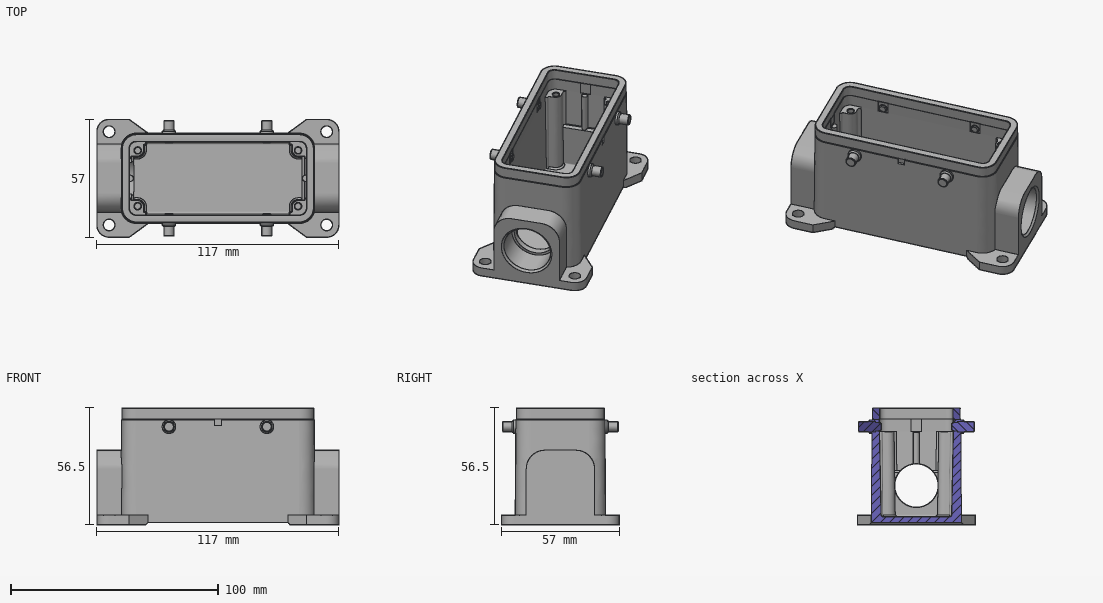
import cadquery as cq
import math

length = 117.0
width = 57.0
base_thickness = 4.7
base_corner_radius = 6.0
base_hole_diameter = 5.5
foot_inner_x = 33.8
foot_slant_x = 42.8
underside_relief = 1.0

overall_height = 56.5
body_top_z = 51.0
body_half_x = 46.9
body_half_y = 21.9
body_corner_radius = 7.7
body_draft = 0.4
body_rim_chamfer = 0.29
notch_width = 3.3
notch_height = 3.0
notch_depth = 1.0

entry_half_width = 16.5
entry_top_z = 36.0
entry_corner_radius = 9.0
bore_z = 19.0
bore_diameter = 23.4
bore_mouth_diameter = 25.4
bore_mouth_depth = 1.0
bore_end_x = 44.0
opening_diameter = 21.0

floor_z = 4.0
cavity_corner_radius = 3.9
mouth_half_x = 43.0
mouth_half_y = 17.8
step_z = 45.0
ledge_top_z = 26.2
ledge_wall_x = 42.6
ledge_edge_x = 41.8
ledge_chamfer = 1.0
floor_half_x = 40.6
floor_half_y = 17.0
floor_fillet = 0.8

post_x = 38.7
post_y = 13.5
post_inner_x = 35.9
post_inner_y = 10.8
post_root_radius = 3.5
post_foot_flare = 0.8
post_web_radius = 1.0
post_embed = 1.2
post_draft = 0.6
post_hole_diameter = 3.0
post_hole_depth = 14.0
post_hole_chamfer = 0.29
rib_diameter = 3.0
rib_x = 42.4
rib_top_z = 44.6

pin_x = 23.6
pin_z = 47.4
pin_tip_y = 28.0
pin_inner_y = 17.0
pin_diameter = 5.0
pin_shank_diameter = 4.0
pin_tip_chamfer = 0.4
shank_chamfer = 0.5
boss_diameter = 6.5
boss_top_y = 23.3
boss_chamfer = 0.7
pad_width = 5.0
pad_depth = 0.2
pin_seat_y = 19.9

seal_half_x = 46.3
seal_half_y = 21.3
seal_width = 3.6
seal_corner_radius = 6.9
seal_edge_chamfer = 0.2
seal_crown_radius = 13.2

SIDES = (-1, 1)
CORNERS = [(sx, sy) for sx in SIDES for sy in SIDES]


def rounded_block(half_x, half_y, bottom, top, radius, lean=0.0):
    """Rounded rectangle extruded upward; its walls lean inward by `lean` in total."""
    height = top - bottom
    outline = cq.Sketch().rect(2 * half_x, 2 * half_y).vertices().fillet(radius)
    angle = math.degrees(math.atan2(lean, height))
    return cq.Workplane("XY").workplane(offset=bottom).placeSketch(outline).extrude(height, taper=angle)


def base_foot(side):
    """Flat foot under one end, with two screw ears and a sloped inner lower edge."""
    foot = (
        cq.Workplane("XY")
        .moveTo(foot_inner_x, -body_half_y)
        .lineTo(foot_slant_x, -width / 2)
        .lineTo(length / 2, -width / 2)
        .lineTo(length / 2, width / 2)
        .lineTo(foot_slant_x, width / 2)
        .lineTo(foot_inner_x, body_half_y)
        .close()
        .extrude(base_thickness)
        .edges("|Z and >X")
        .fillet(base_corner_radius)
    )
    lower_edge = (
        cq.Workplane("XZ")
        .moveTo(foot_inner_x, 0)
        .lineTo(foot_inner_x + underside_relief, 0)
        .lineTo(foot_inner_x, underside_relief)
        .close()
        .extrude(width / 2, both=True)
    )
    hole_x = length / 2 - base_corner_radius
    hole_y = width / 2 - base_corner_radius
    holes = (
        cq.Workplane("XY")
        .pushPoints([(hole_x, -hole_y), (hole_x, hole_y)])
        .circle(base_hole_diameter / 2)
        .extrude(base_thickness)
    )
    foot = foot.cut(lower_edge).cut(holes)
    return foot if side > 0 else foot.mirror("YZ")


def cable_entry(side):
    """Solid block with a rounded top that joins one end wall."""
    inner_x = (body_half_x + mouth_half_x) / 2
    return (
        cq.Workplane("YZ")
        .workplane(offset=inner_x)
        .moveTo(0, entry_top_z / 2)
        .rect(2 * entry_half_width, entry_top_z)
        .extrude(length / 2 - inner_x)
        .edges("|X and >Z")
        .fillet(entry_corner_radius)
        .rotate((0, 0, 0), (0, 0, 1), 0 if side > 0 else 180)
    )


def cavity():
    """Open interior: leaning long walls, and end walls that thicken below a sloped ledge."""
    end_profile = [
        (mouth_half_x, body_top_z),
        (mouth_half_x, step_z),
        (ledge_wall_x, ledge_top_z),
        (ledge_edge_x, ledge_top_z),
        (ledge_edge_x - ledge_chamfer, ledge_top_z - ledge_chamfer),
        (floor_half_x, floor_z),
    ]
    side_profile = [
        (mouth_half_y, body_top_z),
        (mouth_half_y, step_z),
        (floor_half_y, floor_z),
    ]

    def mirrored_prism(plane, profile, half_depth):
        mirrored = [(-u, z) for u, z in reversed(profile)]
        return cq.Workplane(plane).polyline(profile + mirrored).close().extrude(half_depth, both=True)

    lengthwise = mirrored_prism("XZ", end_profile, body_half_y)
    crosswise = mirrored_prism("YZ", side_profile, body_half_x)
    envelope = rounded_block(mouth_half_x, mouth_half_y, floor_z, body_top_z, cavity_corner_radius)
    return lengthwise.intersect(crosswise).intersect(envelope).faces("<Z").edges().fillet(floor_fillet)


def post_prism(growth, height, lean):
    """Corner post at +X +Y on the floor, `growth` wider than its root and narrowing upward by `lean`."""
    inner_x = post_inner_x - post_draft - growth
    inner_y = post_inner_y - post_draft - growth
    outer_x = mouth_half_x + post_embed
    outer_y = mouth_half_y + post_embed
    corner = post_root_radius + growth
    web = post_web_radius - growth
    return (
        cq.Workplane("XY")
        .workplane(offset=floor_z)
        .moveTo(inner_x - web, outer_y)
        .lineTo(outer_x, outer_y)
        .lineTo(outer_x, inner_y - web)
        .lineTo(ledge_wall_x, inner_y - web)
        .radiusArc((ledge_wall_x - web, inner_y), web)
        .lineTo(inner_x + corner, inner_y)
        .radiusArc((inner_x, inner_y + corner), corner)
        .lineTo(inner_x, floor_half_y - web)
        .radiusArc((inner_x - web, floor_half_y), web)
        .close()
        .extrude(height, taper=math.degrees(math.atan2(lean, height)))
    )


def screw_post(sx, sy):
    """Leaning post with a flared foot, blended into both walls, with a blind screw hole in its top."""
    shaft = post_prism(0, step_z - floor_z, post_draft)
    foot = post_prism(post_foot_flare, post_foot_flare, post_foot_flare)
    hole = (
        cq.Workplane("XY")
        .workplane(offset=step_z - post_hole_depth)
        .moveTo(post_x, post_y)
        .circle(post_hole_diameter / 2)
        .extrude(post_hole_depth)
    )
    countersink = (
        cq.Workplane("XY")
        .workplane(offset=step_z)
        .moveTo(post_x, post_y)
        .circle(post_hole_diameter / 2 + post_hole_chamfer)
        .extrude(-post_hole_chamfer, taper=45)
    )
    post = shaft.union(foot).cut(hole).cut(countersink)
    if sx < 0:
        post = post.mirror("YZ")
    if sy < 0:
        post = post.mirror("XZ")
    return post


def guide_rib(side):
    """Upright half-round rib on the middle of one end wall, above the ledge."""
    bottom = ledge_top_z - ledge_chamfer
    return (
        cq.Workplane("XY")
        .workplane(offset=bottom)
        .moveTo(side * rib_x, 0)
        .circle(rib_diameter / 2)
        .extrude(rib_top_z - bottom)
    )


def cable_bore():
    """Bore through the -X entry: wide mouth, main bore, narrower opening into the cavity."""
    profile = [
        (0, -length / 2),
        (bore_mouth_diameter / 2, -length / 2),
        (bore_diameter / 2, -length / 2 + bore_mouth_depth),
        (bore_diameter / 2, -bore_end_x),
        (opening_diameter / 2, -bore_end_x),
        (opening_diameter / 2, -floor_half_x),
        (0, -floor_half_x),
    ]
    points = [(x, bore_z + radius) for radius, x in profile]
    return (
        cq.Workplane("XZ")
        .polyline(points)
        .close()
        .revolve(360, (0, bore_z, 0), (1, bore_z, 0))
    )


def wall_pads():
    """Shallow flat recesses in the upper inner walls, at each pin and on both ends."""
    height = body_top_z - step_z
    middle_z = (body_top_z + step_z) / 2
    end_pads = cq.Workplane("XY").box(2 * (mouth_half_x + pad_depth), pad_width, height)
    pads = end_pads.translate((0, 0, middle_z))
    for side in SIDES:
        pad = cq.Workplane("XY").box(pad_width, 2 * (mouth_half_y + pad_depth), height)
        pads = pads.union(pad.translate((side * pin_x, 0, middle_z)))
    return pads


def turned(profile, sx, sy):
    """Solid turned about a pin axis from (radius, y) points; sy picks the long side."""
    solid = cq.Workplane("XY").polyline(profile).close().revolve(360, (0, 0, 0), (0, 1, 0))
    if sy < 0:
        solid = solid.mirror("XZ")
    return solid.translate((sx * pin_x, 0, pin_z))


def pin_boss(sx, sy):
    """Chamfered round boss outside the wall around one pin."""
    radius = boss_diameter / 2
    root_y = (body_half_y + mouth_half_y) / 2
    profile = [
        (0, root_y),
        (radius, root_y),
        (radius, boss_top_y - boss_chamfer),
        (radius - boss_chamfer, boss_top_y),
        (0, boss_top_y),
    ]
    return turned(profile, sx, sy)


def locking_pin(sx, sy):
    """Stepped pin: thick outer end, thinner shank that shows on the inner wall."""
    radius = pin_diameter / 2
    shank_radius = pin_shank_diameter / 2
    profile = [
        (0, pin_inner_y),
        (shank_radius - shank_chamfer, pin_inner_y),
        (shank_radius, pin_inner_y + shank_chamfer),
        (shank_radius, pin_seat_y),
        (radius, pin_seat_y),
        (radius, pin_tip_y - pin_tip_chamfer),
        (radius - pin_tip_chamfer, pin_tip_y),
        (0, pin_tip_y),
    ]
    return turned(profile, sx, sy)


def rim_notches():
    """Small square notches under the rim in the middle of both long walls."""
    wall_y = body_half_y - body_draft
    notches = cq.Workplane("XY")
    for side in SIDES:
        notch = cq.Workplane("XY").box(notch_width, 2 * notch_depth, notch_height)
        notches = notches.add(notch.translate((0, side * wall_y, body_top_z - notch_height / 2)))
    return notches.combine()


def build_housing():
    body = rounded_block(
        body_half_x, body_half_y, underside_relief, body_top_z, body_corner_radius, body_draft
    )
    body = body.faces(">Z").edges().chamfer(body_rim_chamfer)
    for side in SIDES:
        body = body.union(base_foot(side)).union(cable_entry(side))
    for sx, sy in CORNERS:
        body = body.union(pin_boss(sx, sy))
    body = body.cut(cavity()).cut(wall_pads())
    for sx, sy in CORNERS:
        body = body.union(screw_post(sx, sy))
    for side in SIDES:
        body = body.union(guide_rib(side))
    body = body.cut(cable_bore()).cut(rim_notches())
    for sx, sy in CORNERS:
        body = body.cut(locking_pin(sx, sy))
    return body


def build_seal():
    """Ring on the housing rim, with a slightly crowned top, swept around its middle line."""
    half_width = seal_width / 2
    crown_half = half_width - seal_edge_chamfer
    crown_rise = seal_crown_radius - math.sqrt(seal_crown_radius**2 - crown_half**2)
    shoulder_z = overall_height - crown_rise
    wall_top_z = shoulder_z - seal_edge_chamfer
    middle_x = seal_half_x - half_width
    middle_y = seal_half_y - half_width
    bend = seal_corner_radius - half_width
    straight_x = middle_x - bend
    straight_y = middle_y - bend

    path = (
        cq.Workplane("XY")
        .workplane(offset=body_top_z)
        .moveTo(0, -middle_y)
        .lineTo(straight_x, -middle_y)
        .radiusArc((middle_x, -straight_y), -bend)
        .lineTo(middle_x, straight_y)
        .radiusArc((straight_x, middle_y), -bend)
        .lineTo(-straight_x, middle_y)
        .radiusArc((-middle_x, straight_y), -bend)
        .lineTo(-middle_x, -straight_y)
        .radiusArc((-straight_x, -middle_y), -bend)
        .close()
    )
    return (
        cq.Workplane("YZ")
        .moveTo(-middle_y - half_width, body_top_z)
        .lineTo(-middle_y - half_width, wall_top_z)
        .lineTo(-middle_y - crown_half, shoulder_z)
        .threePointArc((-middle_y, overall_height), (-middle_y + crown_half, shoulder_z))
        .lineTo(-middle_y + half_width, wall_top_z)
        .lineTo(-middle_y + half_width, body_top_z)
        .close()
        .sweep(path)
    )


housing = build_housing()
seal = build_seal()
pins = [locking_pin(sx, sy) for sx, sy in CORNERS]

result = cq.Compound.makeCompound([housing.solids().val(), seal.val(), *[pin.val() for pin in pins]])